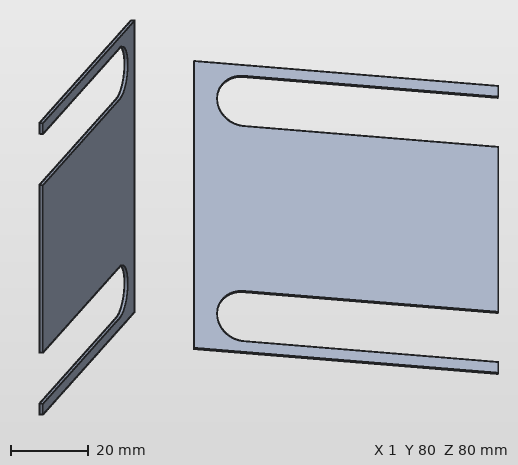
import cadquery as cq

side = 80.0
thickness = 1.0

slot_width = 14.0
slot_spacing = 60.0
end_margin = 6.0

slot_radius = slot_width / 2
open_edge_y = -side / 2
slot_tip_y = side / 2 - end_margin
arc_start_y = slot_tip_y - slot_radius


def open_slot(center_z):
    """Cutter for one slot with a semicircular closed end."""
    bottom_z = center_z - slot_radius
    top_z = center_z + slot_radius
    return (
        cq.Workplane("YZ")
        .moveTo(open_edge_y, bottom_z)
        .lineTo(arc_start_y, bottom_z)
        .threePointArc((slot_tip_y, center_z), (arc_start_y, top_z))
        .lineTo(open_edge_y, top_z)
        .close()
        .extrude(thickness, both=True)
    )


result = cq.Workplane("XY").box(thickness, side, side)
for center_z in (-slot_spacing / 2, slot_spacing / 2):
    result = result.cut(open_slot(center_z))